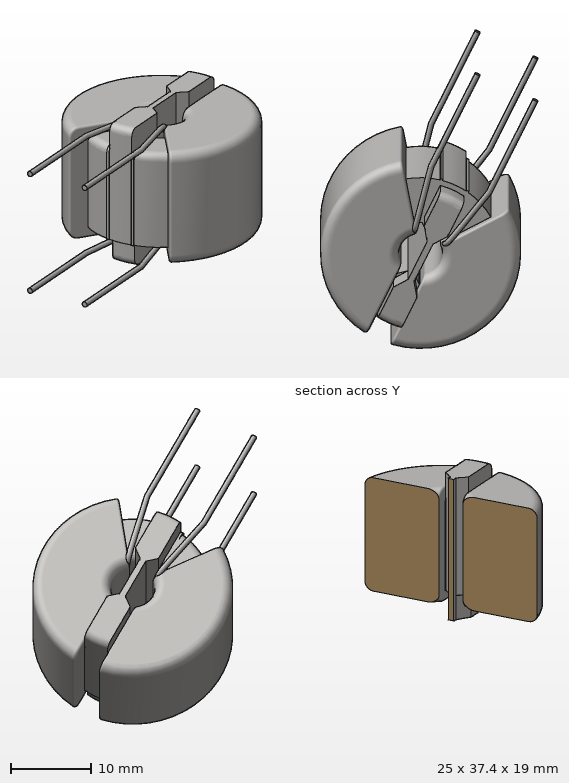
import math

import cadquery as cq

core_radius = 10.0
core_hole_radius = 4.05
core_top = 6.425
core_bottom = -6.25
core_rounding = 1.0

winding_radius = 12.5
winding_hole_radius = 2.75
winding_half_height = 7.625
winding_rounding = 1.25
winding_end_rounding = 0.3
slot_half_width = 1.65
window_half_angle = 36.0

plate_thickness = 3.25
plate_top = 9.5
plate_bottom = -plate_top
plate_rounding = 1.0
tab_radius = 9.3
waist_thickness = 0.8
waist_half_length = 2.75
waist_shoulder = 3.8
tab_waist_shoulder = 4.5

rib_width = 0.33
rib_front = -10.0
rib_back = -8.0
rib_rounding = 0.8

wire_radius = 0.35
lead_end_y = -25.03
lead_x = 4.0
lead_z = 8.0
lead_knee_y = -11.5
slope_end = (2.65, -5.0, 7.82)
bend_middle = (2.34, -3.55, 7.65)
dive_end = (2.12, -2.5, 6.6)


def make_core():
    tube = (
        cq.Workplane("XY", origin=(0, 0, core_bottom))
        .circle(core_radius)
        .circle(core_hole_radius)
        .extrude(core_top - core_bottom)
    )
    return tube.faces(">Z").edges().fillet(core_rounding)


def make_winding():
    """The winding on the +X side, cut off by the slot at the back and the window at the front."""
    section_width = winding_radius - winding_hole_radius
    middle_radius = winding_hole_radius + section_width / 2
    ring = (
        cq.Workplane("XZ")
        .center(middle_radius, 0)
        .sketch()
        .rect(section_width, 2 * winding_half_height)
        .vertices()
        .fillet(winding_rounding)
        .finalize()
        .revolve(360, (-middle_radius, 0), (-middle_radius, 1))
    )
    reach = 2 * winding_radius
    angle = math.radians(window_half_angle)
    keep = (
        cq.Workplane("XY", origin=(0, 0, -winding_half_height))
        .moveTo(slot_half_width, reach)
        .lineTo(slot_half_width, 0)
        .lineTo(0, 0)
        .lineTo(reach * math.sin(angle), -reach * math.cos(angle))
        .lineTo(reach, -reach)
        .lineTo(reach, reach)
        .close()
        .extrude(2 * winding_half_height)
    )
    winding = ring.intersect(keep)
    return winding.faces("%PLANE and #Z").edges().fillet(winding_end_rounding)


def make_plate_part(radius, shoulder, bottom, top):
    """A slab cut from a disc, thinned to the waist around the axis."""
    height = top - bottom
    base = cq.Workplane("XY", origin=(0, 0, bottom))
    disc = base.circle(radius).extrude(height)
    slab = disc.intersect(base.rect(plate_thickness, 2 * radius).extrude(height))
    for side in (1, -1):
        recess = (
            base.moveTo(side * plate_thickness / 2, shoulder)
            .lineTo(side * waist_thickness / 2, waist_half_length)
            .lineTo(side * waist_thickness / 2, -waist_half_length)
            .lineTo(side * plate_thickness / 2, -shoulder)
            .close()
            .extrude(height)
        )
        slab = slab.cut(recess)
    return slab


def make_plate():
    upper = make_plate_part(core_radius, waist_shoulder, core_bottom, plate_top)
    upper = upper.faces(">Z").edges("%CIRCLE").fillet(plate_rounding)
    tab = make_plate_part(tab_radius, tab_waist_shoulder, plate_bottom, core_bottom)
    tab = tab.faces("<Z").edges("%CIRCLE").fillet(plate_rounding)
    return upper.union(tab)


def make_ribs():
    ribs = cq.Workplane("XY").box(
        plate_thickness + 2 * rib_width,
        rib_back - rib_front,
        core_top - core_bottom,
        centered=(True, False, False),
    )
    ribs = ribs.faces("<Y").edges(">Z").fillet(rib_rounding)
    ribs = ribs.translate((0, rib_front, core_bottom))
    plate_space = cq.Workplane("XY").box(plate_thickness, 2 * winding_radius, plate_top - plate_bottom)
    return ribs.cut(plate_space)


def make_lead():
    """The upper lead on the +X side."""
    knee = cq.Vector(lead_x, lead_knee_y, lead_z)
    tail_start = cq.Vector(lead_x, lead_end_y, lead_z)
    bend_start = cq.Vector(*slope_end)
    slope_direction = bend_start - knee
    tail = cq.Edge.makeLine(tail_start, knee)
    slope = cq.Edge.makeLine(knee, bend_start)
    bend = cq.Edge.makeTangentArc(bend_start, slope_direction, cq.Vector(*bend_middle))
    dive = cq.Edge.makeTangentArc(bend.endPoint(), bend.tangentAt(1), cq.Vector(*dive_end))
    path = cq.Wire.assembleEdges([tail, slope, bend, dive])
    return (
        cq.Workplane("XZ", origin=tail_start.toTuple())
        .circle(wire_radius)
        .sweep(cq.Workplane(path), transition="right")
    )


winding = make_winding()
upper_lead = make_lead()
lower_lead = upper_lead.mirror("XY")

result = make_core().union(make_ribs()).union(make_plate())
for half in (winding, upper_lead, lower_lead):
    result = result.union(half).union(half.mirror("YZ"))